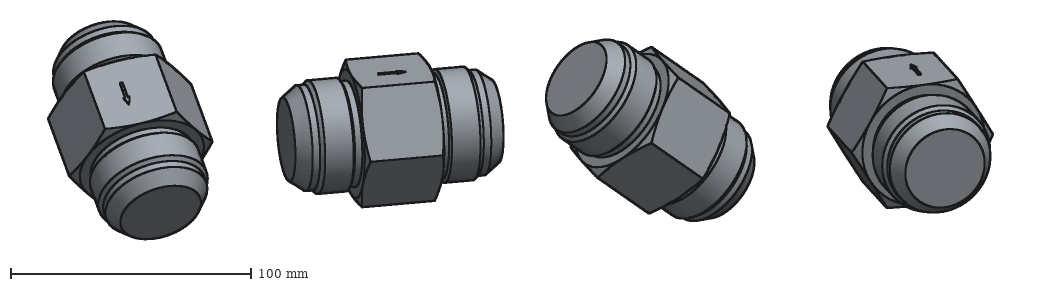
import cadquery as cq
import math

total_length = 88.9
hex_width = 34.0
across_flats = 54.0
across_corners = across_flats / math.cos(math.radians(30))
hex_chamfer_angle = 20.0

tip_diameter = 35.0
nose_diameter = 44.4
thread_diameter = 47.65
neck_diameter = 44.6

cone_length = 6.3
thread_start = 9.5
lead_chamfer_length = 1.8
thread_full_end = 23.5
runout_length = 0.9

arrow_tail_x = -5.6
arrow_head_x = 2.4
arrow_tip_x = 6.05
arrow_y = -2.3
arrow_shaft_width = 1.2
arrow_head_width = 2.8
arrow_depth = 0.2


def revolve_about_x(profile):
    """Revolve a closed profile of (x, radius) points about the X axis."""
    return cq.Workplane("XY").polyline(profile).close().revolve(360, (0, 0, 0), (1, 0, 0))


def mirrored_profile(left_half):
    """Close a left-half (x, radius) outline with its mirror image about X = 0."""
    return left_half + [(-x, radius) for x, radius in reversed(left_half)]


def make_turned_body():
    """Both threaded ends and their necks, as one solid of revolution."""
    end_x = -total_length / 2
    outline = [
        (end_x, 0),
        (end_x, tip_diameter / 2),
        (end_x + cone_length, nose_diameter / 2),
        (end_x + thread_start, nose_diameter / 2),
        (end_x + thread_start + lead_chamfer_length, thread_diameter / 2),
        (end_x + thread_full_end, thread_diameter / 2),
        (end_x + thread_full_end + runout_length, neck_diameter / 2),
    ]
    return revolve_about_x(mirrored_profile(outline))


def make_hexagon():
    """Hexagon with flats facing up and down, its corners turned to a cone at both faces."""
    prism = (
        cq.Workplane("YZ")
        .polygon(6, across_corners)
        .extrude(hex_width / 2, both=True)
    )
    corner_height = (across_corners - across_flats) / 2
    corner_setback = corner_height * math.tan(math.radians(hex_chamfer_angle))
    face_x = -hex_width / 2
    outline = [
        (face_x, 0),
        (face_x, across_flats / 2),
        (face_x + corner_setback, across_corners / 2),
    ]
    return prism.intersect(revolve_about_x(mirrored_profile(outline)))


def make_flow_arrow():
    """Arrow pointing to +X, reaching from the top flat down to the engraving depth."""
    half_shaft = arrow_shaft_width / 2
    half_head = arrow_head_width / 2
    outline = [
        (arrow_tail_x, -half_shaft),
        (arrow_head_x, -half_shaft),
        (arrow_head_x, -half_head),
        (arrow_tip_x, 0),
        (arrow_head_x, half_head),
        (arrow_head_x, half_shaft),
        (arrow_tail_x, half_shaft),
    ]
    return (
        cq.Workplane("XY", origin=(0, arrow_y, across_flats / 2))
        .polyline(outline)
        .close()
        .extrude(-arrow_depth)
    )


result = make_turned_body().union(make_hexagon()).cut(make_flow_arrow())